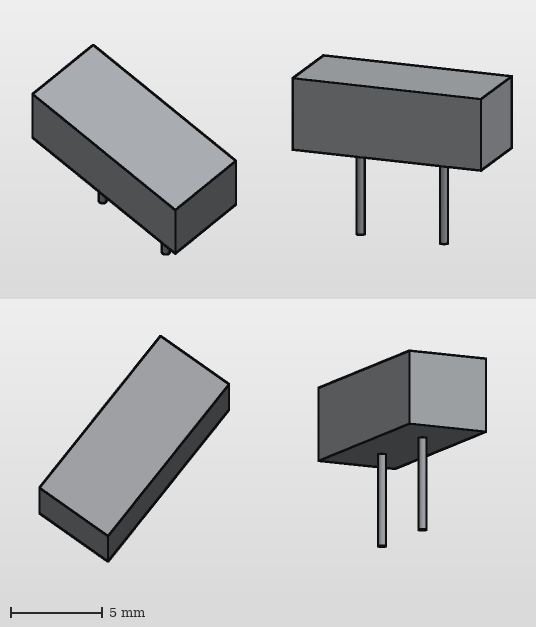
import cadquery as cq

housing_length = 11.05
housing_width = 4.7
overall_height = 9.2
housing_height = 4.09

pin_diameter = 0.45
pin_spacing = 4.88
pin_length = overall_height - housing_height


def make_housing():
    """Plain block standing on the plane Z = 0."""
    return cq.Workplane("XY").box(
        housing_length, housing_width, housing_height, centered=(True, True, False)
    )


def make_pin(x):
    """Round lead hanging from the underside of the housing."""
    return cq.Workplane("XY").center(x, 0).circle(pin_diameter / 2).extrude(-pin_length)


housing = make_housing()
pins = []
for side in (-1, 1):
    pins.append(make_pin(side * pin_spacing / 2))

result = cq.Compound.makeCompound([housing.val(), *[pin.val() for pin in pins]])